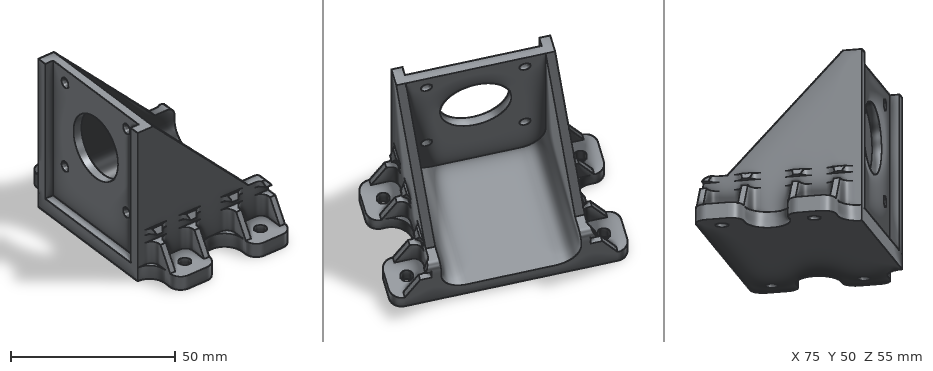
import cadquery as cq

body_width = 50.0
body_length = 50.0
body_height = 55.0
front_y = -body_length / 2
back_y = body_length / 2
wall_x = body_width / 2
wall_thickness = 3.0
floor_thickness = 5.0
floor_fillet = 8.0
plate_thickness = 6.0

wall_back_height = 17.8
wall_slope_end_y = 17.4
wall_back_round = 3.0

recess_width = 43.0
recess_depth = 3.0
motor_z = 34.5
motor_bore = 22.4
motor_bolt_spacing = 31.0
motor_bolt_hole = 3.5

foot_reach = 12.5
foot_length = 15.0
foot_thickness = 5.0
foot_corner = 4.0
foot_hole = 4.0
foot_hole_offset = 6.0
front_foot_setback = 6.0
foot_fronts = (front_y + front_foot_setback, back_y - foot_length)
foot_gap = foot_fronts[1] - foot_fronts[0] - foot_length

gusset_thickness = 2.0
gusset_reach = 8.5
gusset_rise = 14.0
gusset_fillet = 3.0
slot_bottom = 13.0
slot_top = 15.8


def block(x_range, y_range, z_range):
    """Axis-aligned box given by its lower and upper limits."""
    size = [high - low for low, high in (x_range, y_range, z_range)]
    corner = (x_range[0], y_range[0], z_range[0])
    return cq.Workplane("XY").box(*size, centered=False).translate(corner)


def make_body():
    """Bracket with sloping side walls, hollowed behind the motor plate."""
    body = (
        cq.Workplane("YZ")
        .moveTo(front_y, 0)
        .lineTo(back_y, 0)
        .lineTo(back_y, wall_back_height)
        .lineTo(wall_slope_end_y, wall_back_height)
        .lineTo(front_y + plate_thickness, body_height)
        .lineTo(front_y, body_height)
        .close()
        .extrude(wall_x, both=True)
    )
    inner_x = wall_x - wall_thickness
    cavity = block(
        (-inner_x, inner_x), (front_y + plate_thickness, back_y), (floor_thickness, body_height)
    )
    return body.cut(cavity.edges("|Y and <Z").fillet(floor_fillet))


def cut_motor_seat(body):
    """Recess, shaft bore and four bolt holes through the motor plate."""
    recess = block(
        (-recess_width / 2, recess_width / 2),
        (front_y, front_y + recess_depth),
        (floor_thickness, body_height),
    )
    shaft_bore = (
        cq.Workplane("XZ", origin=(0, front_y, motor_z))
        .circle(motor_bore / 2)
        .extrude(-plate_thickness)
    )
    bolts = (
        cq.Workplane("XZ", origin=(0, front_y, motor_z))
        .rect(motor_bolt_spacing, motor_bolt_spacing, forConstruction=True)
        .vertices()
        .circle(motor_bolt_hole / 2)
        .extrude(-plate_thickness)
    )
    return body.cut(recess).cut(shaft_bore).cut(bolts)


def corner_web(foot_edge_y, direction, radius, height):
    """Concave web in the corner between the +X wall and an edge facing along Y."""
    return (
        cq.Workplane("XY")
        .moveTo(wall_x, foot_edge_y)
        .lineTo(wall_x + radius, foot_edge_y)
        .radiusArc((wall_x, foot_edge_y + direction * radius), direction * radius)
        .close()
        .extrude(height)
    )


def make_foot(foot_front):
    """Foot on the +X wall with rounded outer corners, without its hole."""
    foot = block(
        (wall_x, wall_x + foot_reach), (foot_front, foot_front + foot_length), (0, foot_thickness)
    )
    return foot.edges("|Z and >X").fillet(foot_corner)


def make_gusset(gusset_front):
    """Sloping rib blended into the +X wall, slotted across below its tip."""
    gusset_back = gusset_front + gusset_thickness
    rib = block(
        (wall_x, wall_x + gusset_reach), (gusset_front, gusset_back), (0, wall_back_height)
    )
    rib = rib.union(corner_web(gusset_front, -1, gusset_fillet, wall_back_height))
    if gusset_back < back_y:
        rib = rib.union(corner_web(gusset_back, 1, gusset_fillet, wall_back_height))
    slope = (
        cq.Workplane("XZ", origin=(0, back_y, 0))
        .moveTo(wall_x, foot_thickness)
        .lineTo(wall_x + gusset_reach, foot_thickness)
        .lineTo(wall_x, foot_thickness + gusset_rise)
        .close()
        .extrude(body_length)
    )
    slot = block(
        (wall_x, wall_x + gusset_reach), (front_y, back_y), (slot_bottom, slot_top)
    )
    return rib.intersect(slope).cut(slot)


def make_side():
    """Lower part of the +X wall with its feet, webs and gussets."""
    side = block((wall_x - wall_thickness, wall_x), (front_y, back_y), (0, wall_back_height))
    side = side.union(corner_web(foot_fronts[0], -1, front_foot_setback, foot_thickness))
    side = side.union(corner_web(foot_fronts[0] + foot_length, 1, foot_gap / 2, foot_thickness))
    side = side.union(corner_web(foot_fronts[1], -1, foot_gap / 2, foot_thickness))
    for foot_front in foot_fronts:
        side = side.union(make_foot(foot_front))
        for gusset_front in (foot_front, foot_front + foot_length - gusset_thickness):
            side = side.union(make_gusset(gusset_front))
    hole_centers = [
        (wall_x + foot_hole_offset, foot_front + foot_length / 2) for foot_front in foot_fronts
    ]
    holes = (
        cq.Workplane("XY").pushPoints(hole_centers).circle(foot_hole / 2).extrude(foot_thickness)
    )
    return side.cut(holes)


def back_edge_waste():
    """Material outside the rounded top back edge, across the walls and gussets."""
    round_start = wall_back_height - wall_back_round
    half_width = wall_x + foot_reach
    return (
        cq.Workplane("YZ")
        .moveTo(back_y, round_start)
        .lineTo(back_y, wall_back_height)
        .lineTo(back_y - wall_back_round, wall_back_height)
        .radiusArc((back_y, round_start), wall_back_round)
        .close()
        .extrude(half_width, both=True)
    )


side = make_side()
bracket = cut_motor_seat(make_body()).union(side).union(side.mirror("YZ"))
result = bracket.cut(back_edge_waste())